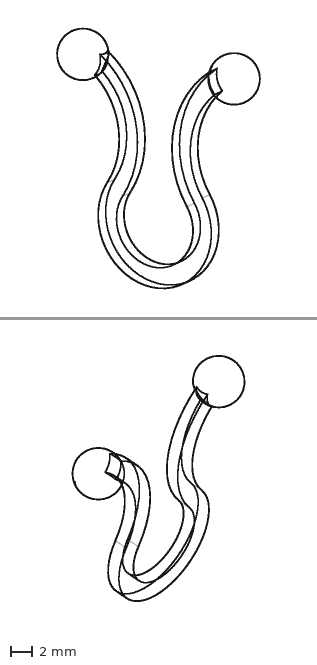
import cadquery as cq
import math

strip_width = 2.0
strip_thickness = 1.4
loop_radius = 5.15
arm_radius = 8.9
neck_half_gap = 2.86
ball_diameter = 4.85
ball_spacing = 16.41
ball_height = 15.185

ball_x = ball_spacing / 2
arm_center_x = neck_half_gap + arm_radius
center_distance = loop_radius + arm_radius
arm_center_z = math.sqrt(center_distance**2 - arm_center_x**2)

join_angle = math.atan2(arm_center_z, arm_center_x)
arm_start_angle = join_angle + math.pi
arm_end_angle = math.atan2(ball_height - arm_center_z, ball_x - arm_center_x)
arm_middle_angle = (arm_start_angle + arm_end_angle) / 2


def arm_point(radius, angle, side):
    """Point on an arm arc; side is +1 for the right arm and -1 for the left."""
    x = arm_center_x + radius * math.cos(angle)
    z = arm_center_z + radius * math.sin(angle)
    return (side * x, z)


def make_strip():
    """Flat bent strip: a round loop opening into two arms that end inside the balls."""
    half_width = strip_width / 2
    loop_outer = loop_radius + half_width
    loop_inner = loop_radius - half_width
    arm_inner = arm_radius - half_width
    arm_outer = arm_radius + half_width

    def add_arm(outline, radius, end_angle, side):
        middle = arm_point(radius, arm_middle_angle, side)
        return outline.threePointArc(middle, arm_point(radius, end_angle, side))

    outline = cq.Workplane("XZ").moveTo(*arm_point(arm_inner, arm_end_angle, -1))
    outline = add_arm(outline, arm_inner, arm_start_angle, -1)
    outline = outline.threePointArc((0, -loop_outer), arm_point(arm_inner, arm_start_angle, 1))
    outline = add_arm(outline, arm_inner, arm_end_angle, 1)
    outline = outline.lineTo(*arm_point(arm_outer, arm_end_angle, 1))
    outline = add_arm(outline, arm_outer, arm_start_angle, 1)
    outline = outline.threePointArc((0, -loop_inner), arm_point(arm_outer, arm_start_angle, -1))
    outline = add_arm(outline, arm_outer, arm_end_angle, -1)
    return outline.close().extrude(strip_thickness / 2, both=True)


def make_ball(side):
    """Round tip centred on the strip's mid-plane, with its poles on the Y direction."""
    ball = cq.Workplane("XZ").sphere(ball_diameter / 2)
    return ball.translate((side * ball_x, 0, ball_height))


result = make_strip()
for side in (-1, 1):
    result = result.union(make_ball(side))